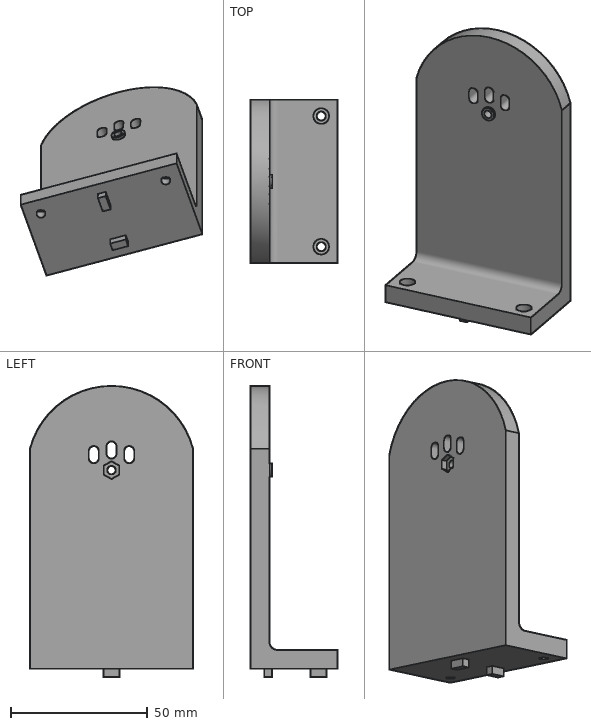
import cadquery as cq
import math

width = 60.0
depth = 32.0
thickness = 7.0
inner_fillet_radius = 3.0

pivot_height = 73.0
dome_radius = 31.0
wall_height = pivot_height + dome_radius
shoulder_height = pivot_height + math.sqrt(dome_radius**2 - (width / 2) ** 2)

pivot_hole_diameter = 3.0
boss_diameter = 5.0
boss_height = 1.0
nut_across_flats = 5.7
nut_pocket_depth = 2.4

slot_width = 3.6
slot_length = 6.2
side_slot_offset = 6.5
middle_slot_height = 80.4
side_slot_height = 78.7

screw_hole_diameter = 3.25
screw_head_diameter = 5.75
screw_head_depth = 3.0
screw_x = 26.0
screw_edge_distance = 6.0
screw_offset = width / 2 - screw_edge_distance

key_length = 6.0
key_width = 3.0
key_height = 3.0
cross_key_x = 6.5
lengthwise_key_x = 25.0


def make_wall():
    half_width = width / 2
    return (
        cq.Workplane("YZ")
        .moveTo(-half_width, 0)
        .lineTo(half_width, 0)
        .lineTo(half_width, shoulder_height)
        .threePointArc((0, wall_height), (-half_width, shoulder_height))
        .close()
        .extrude(thickness)
    )


def make_bracket():
    flange = cq.Workplane("XY").box(depth, width, thickness, centered=(False, True, False))
    inner_corner = cq.selectors.NearestToPointSelector((thickness, 0, thickness))
    return make_wall().union(flange).edges(inner_corner).fillet(inner_fillet_radius)


def make_boss():
    return (
        cq.Workplane("YZ", origin=(thickness, 0, pivot_height))
        .circle(boss_diameter / 2)
        .extrude(boss_height)
    )


def make_pivot_cut():
    outer_face = cq.Workplane("YZ", origin=(0, 0, pivot_height))
    hole = outer_face.circle(pivot_hole_diameter / 2).extrude(thickness + boss_height)
    nut_corner_diameter = nut_across_flats / math.cos(math.pi / 6)
    nut_pocket = (
        outer_face.transformed(rotate=(0, 0, 90))
        .polygon(6, nut_corner_diameter)
        .extrude(nut_pocket_depth)
    )
    return hole.union(nut_pocket)


def make_slots():
    slot_centres = [
        (-side_slot_offset, side_slot_height),
        (0, middle_slot_height),
        (side_slot_offset, side_slot_height),
    ]
    return (
        cq.Workplane("YZ")
        .pushPoints(slot_centres)
        .slot2D(slot_length, slot_width, 90)
        .extrude(thickness)
    )


def make_screw_cuts():
    screw_centres = [(screw_x, -screw_offset), (screw_x, screw_offset)]
    holes = (
        cq.Workplane("XY")
        .pushPoints(screw_centres)
        .circle(screw_hole_diameter / 2)
        .extrude(thickness)
    )
    head_recesses = (
        cq.Workplane("XY", origin=(0, 0, thickness - screw_head_depth))
        .pushPoints(screw_centres)
        .circle(screw_head_diameter / 2)
        .extrude(screw_head_depth)
    )
    return holes.union(head_recesses)


def make_key(centre_x, size_x, size_y):
    return cq.Workplane("XY").center(centre_x, 0).rect(size_x, size_y).extrude(-key_height)


result = (
    make_bracket()
    .union(make_boss())
    .union(make_key(cross_key_x, key_width, key_length))
    .union(make_key(lengthwise_key_x, key_length, key_width))
    .cut(make_pivot_cut())
    .cut(make_slots())
    .cut(make_screw_cuts())
)